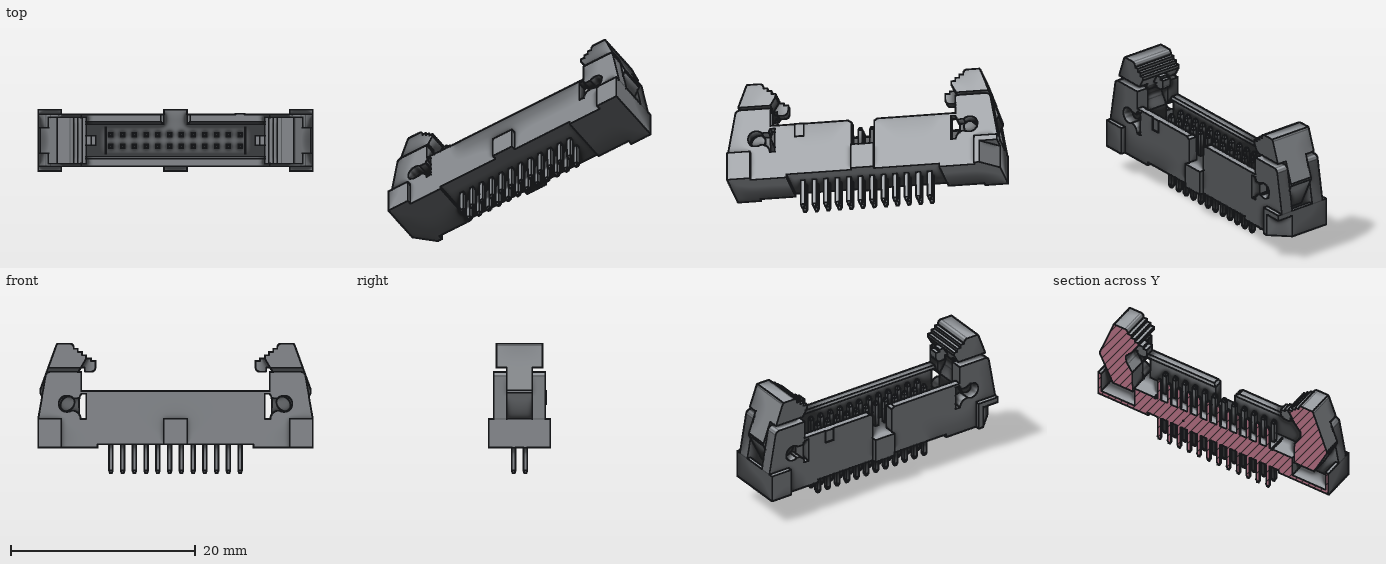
import cadquery as cq
import math


length = 29.72
half_length = length / 2
body_width = 5.62
overall_width = 6.65
wall_top = 6.15
floor_height = 3.12
underside_recess = 0.35
foot_reach = 6.45

end_block_length = 2.53
key_width = 2.5
corner_cut = 1.95
corner_cut_height = 2.5

cavity_width = 3.48
lead_in_height = 0.25
front_lead_in = 0.27
rear_lead_in = 0.3
notch_lead_in = 0.35

post_depth = 4.67
post_top = 8.2
post_taper = 0.9
post_rounding = 0.5

slot_width = 2.75
slot_rim = 0.42
pit_floor = 0.6

pivot_x = 3.12
pivot_z = 4.75
pivot_hole_radius = 0.9
neck_bottom = 4.0
neck_top = 5.38
window_inner = 4.6
window_outer = 5.2
window_top = 5.83
window_step_x = 4.52
window_step_z = 5.55
window_corner_x = 4.7

latch_top = 11.25
latch_bottom = 2.5
head_width = 5.0
head_bottom = 8.68
head_back_x = 2.08
head_chamfer_run = 0.12
head_chamfer_drop = 0.18
step_run = 0.45
step_rise = 0.35
step_count = 3
first_step_x = 3.85
first_step_z = 10.73
head_rounding = 0.42
heel_x = 0.2
heel_bottom = 5.97
heel_top = 6.25
toe_x = 1.87
inner_face_x = 4.5
nose_x = 4.43
nose_z = 5.32
throat_x = 3.63
throat_top = 7.35
throat_bottom = 6.9
throat_end = (3.8, 6.3)
chin = (4.4, 8.25)

finger_width = 1.05
finger_root = 4.3
finger_tip = 6.2
finger_top = 9.65
finger_bottom = 8.2
finger_step_x = 5.75
finger_step_z = 9.4
finger_rounding = 0.5
finger_heel_x = 5.02
finger_heel_chamfer = 0.12

pivot_stub_length = 0.3
pivot_stub_offset = 0.05
pivot_stub_radii = (0.85, 0.68)
pivot_stub_tilt = 50.0

pins_per_row = 12
pin_row_span = 13.97
pin_pitch = pin_row_span / (pins_per_row - 1)
pin_width = 0.45
pin_tip_width = 0.2
pin_bottom = -2.75
pin_top = 6.05
pin_tip_length = 0.33

groove_offset = 7.55
groove_width = 0.12
groove_length = 2.85
groove_depth = 0.15
mark_width = 1.0
mark_height = 1.45
mark_thickness = 0.1


def block(x0, x1, y0, y1, z0, z1):
    return cq.Workplane("XY").box(x1 - x0, y1 - y0, z1 - z0, centered=False).translate((x0, y0, z0))


def end_plane():
    """XZ sketch plane whose x is the distance inward from the left end face."""
    return cq.Workplane("XZ", origin=(-half_length, 0, 0))


def both_ends(shape):
    return shape.union(shape.mirror("YZ"))


def make_body():
    half_width = body_width / 2
    body = block(-half_length, half_length, -half_width, half_width, 0, wall_top)
    post = (
        end_plane()
        .moveTo(0, 0)
        .lineTo(post_depth, 0)
        .lineTo(post_depth, post_top)
        .lineTo(post_taper, post_top)
        .lineTo(0, floor_height)
        .close()
        .extrude(half_width, both=True)
        .edges(cq.selectors.NearestToPointSelector((post_taper - half_length, 0, post_top)))
        .fillet(post_rounding)
    )
    outside = (
        end_plane()
        .moveTo(0, floor_height)
        .lineTo(post_taper, post_top)
        .lineTo(0, post_top)
        .close()
        .extrude(half_width, both=True)
    )
    return body.cut(both_ends(outside)).union(both_ends(post))


def make_guide_blocks():
    half_width = overall_width / 2
    end_block = block(-half_length, end_block_length - half_length, -half_width, half_width, 0, floor_height)
    key = block(-key_width / 2, key_width / 2, -half_width, half_width, 0, floor_height)
    return both_ends(end_block).union(key)


def make_underside_recess():
    reach = half_length - foot_reach
    return block(-reach, reach, -overall_width, overall_width, 0, underside_recess)


def make_corner_cut():
    """Chamfer under the rear left end block that marks the orientation."""
    half_width = overall_width / 2
    return (
        cq.Workplane("XY")
        .moveTo(-half_length, half_width)
        .lineTo(corner_cut - half_length, half_width)
        .lineTo(-half_length, half_width - corner_cut)
        .close()
        .extrude(corner_cut_height)
    )


def make_cavity():
    half_width = cavity_width / 2
    reach = half_length - post_depth
    return (
        cq.Workplane("YZ")
        .moveTo(-half_width, floor_height)
        .lineTo(half_width, floor_height)
        .lineTo(half_width, wall_top - lead_in_height)
        .lineTo(half_width + rear_lead_in, wall_top)
        .lineTo(half_width + rear_lead_in, post_top)
        .lineTo(-half_width - front_lead_in, post_top)
        .lineTo(-half_width - front_lead_in, wall_top)
        .lineTo(-half_width, wall_top - lead_in_height)
        .close()
        .extrude(reach, both=True)
    )


def make_notch():
    """Polarising notch through the rear wall, with a flared mouth."""
    half_width = key_width / 2
    return (
        cq.Workplane("XZ")
        .moveTo(-half_width, floor_height)
        .lineTo(half_width, floor_height)
        .lineTo(half_width, wall_top - lead_in_height)
        .lineTo(half_width + notch_lead_in, wall_top)
        .lineTo(-half_width - notch_lead_in, wall_top)
        .lineTo(-half_width, wall_top - lead_in_height)
        .close()
        .extrude(-body_width)
    )


def make_latch_slot():
    half_width = slot_width / 2
    inner_x = post_depth - half_length
    slot = block(-half_length, inner_x, -half_width, half_width, floor_height, post_top)
    pit = block(slot_rim - half_length, inner_x, -half_width, half_width, pit_floor, floor_height)
    return slot.union(pit)


def make_window():
    """Round pivot hole joined by a flared neck to a tall slot."""
    hole = end_plane().center(pivot_x, pivot_z).circle(pivot_hole_radius).extrude(body_width, both=True)
    flare_radius = neck_bottom - floor_height
    slot = (
        end_plane()
        .moveTo(pivot_x, neck_bottom)
        .lineTo(window_inner - flare_radius, neck_bottom)
        .radiusArc((window_inner, floor_height), flare_radius)
        .lineTo(window_outer, floor_height)
        .lineTo(window_outer, window_top)
        .lineTo(window_corner_x, window_top)
        .lineTo(window_step_x, window_step_z)
        .lineTo(window_step_x, neck_top)
        .lineTo(pivot_x, neck_top)
        .close()
        .extrude(body_width, both=True)
    )
    return hole.union(slot)


def latch_outline():
    """Full side outline of the latch, without the finger."""
    outline = (
        end_plane()
        .moveTo(heel_x, heel_bottom)
        .lineTo(heel_x, heel_top)
        .lineTo(head_back_x - head_chamfer_run, latch_top - head_chamfer_drop)
        .lineTo(head_back_x, latch_top)
        .lineTo(first_step_x - head_rounding, latch_top)
        .radiusArc((first_step_x, latch_top - head_rounding), head_rounding)
        .lineTo(first_step_x, first_step_z)
    )
    for step in range(1, step_count + 1):
        step_x = first_step_x + step * step_run
        outline = outline.lineTo(step_x, first_step_z - (step - 1) * step_rise)
        outline = outline.lineTo(step_x, first_step_z - step * step_rise)
    return (
        outline
        .lineTo(*chin)
        .lineTo(throat_x, throat_top)
        .lineTo(throat_x, throat_bottom)
        .tangentArcPoint(throat_end, relative=False)
        .lineTo(nose_x, nose_z)
        .lineTo(inner_face_x, latch_bottom)
        .lineTo(toe_x, latch_bottom)
        .close()
    )


def make_latch():
    arm = latch_outline().extrude(slot_width / 2, both=True)
    head_zone = block(-half_length, 0, -head_width / 2, head_width / 2, head_bottom, latch_top)
    head = latch_outline().extrude(head_width / 2, both=True).intersect(head_zone)
    finger = (
        end_plane()
        .moveTo(finger_root, head_bottom)
        .lineTo(finger_root, finger_top)
        .lineTo(finger_step_x, finger_top)
        .lineTo(finger_step_x, finger_step_z)
        .lineTo(finger_tip, finger_step_z)
        .lineTo(finger_tip, finger_bottom + finger_rounding)
        .radiusArc((finger_tip - finger_rounding, finger_bottom), finger_rounding)
        .lineTo(finger_heel_x + finger_heel_chamfer, finger_bottom)
        .lineTo(finger_heel_x, finger_bottom + finger_heel_chamfer)
        .lineTo(finger_heel_x, head_bottom)
        .close()
        .extrude(finger_width / 2, both=True)
    )
    pivot_stub = (
        end_plane()
        .center(pivot_x + pivot_stub_offset, pivot_z)
        .ellipse(*pivot_stub_radii, rotation_angle=pivot_stub_tilt)
        .extrude(slot_width / 2 + pivot_stub_length, both=True)
    )
    return arm.union(head).union(finger).union(pivot_stub)


def make_pin():
    tip_inset = (pin_width - pin_tip_width) / 2
    taper = math.degrees(math.atan2(tip_inset, pin_tip_length))
    shank_bottom = pin_bottom + pin_tip_length
    shank_top = pin_top - pin_tip_length

    def section(z):
        return cq.Workplane("XY").workplane(offset=z).rect(pin_width, pin_width)

    shank = section(shank_bottom).extrude(shank_top - shank_bottom)
    upper_tip = section(shank_top).extrude(pin_tip_length, taper=taper)
    lower_tip = section(shank_bottom).extrude(-pin_tip_length, taper=taper)
    return shank.union(upper_tip).union(lower_tip)


def make_groove():
    x0 = -groove_offset - groove_width / 2
    y1 = groove_length / 2
    return block(x0, x0 + groove_width, -y1, y1, floor_height - groove_depth, floor_height)


def make_mark(centre_x):
    x0 = centre_x - mark_width / 2
    y0 = body_width / 2
    return block(x0, x0 + mark_width, y0, y0 + mark_thickness, wall_top - mark_height, wall_top)


last_pin_x = pin_row_span / 2

housing = make_body().union(make_guide_blocks())
housing = housing.cut(make_underside_recess()).cut(make_corner_cut())
housing = housing.cut(make_cavity()).cut(make_notch())
housing = housing.cut(both_ends(make_latch_slot())).cut(both_ends(make_window()))
housing = housing.cut(both_ends(make_groove())).union(make_mark(last_pin_x))

result = housing.union(both_ends(make_latch()))
pin = make_pin()
for column in range(pins_per_row):
    for row_y in (-pin_pitch / 2, pin_pitch / 2):
        result = result.union(pin.translate((column * pin_pitch - last_pin_x, row_y, 0)))